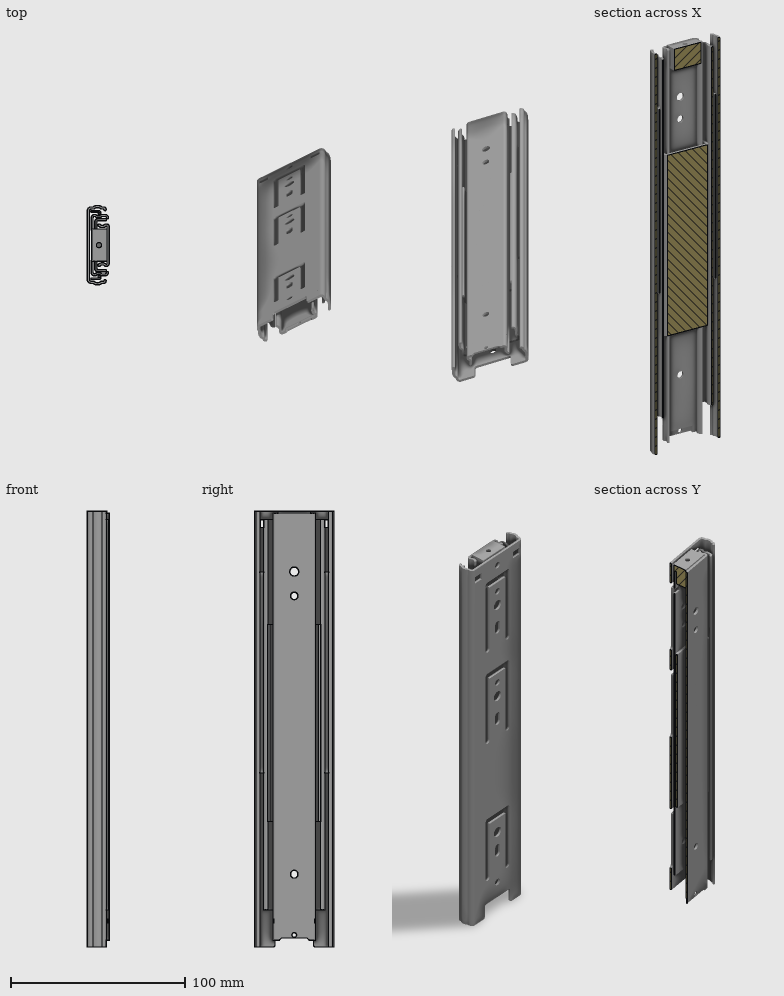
import cadquery as cq

length = 250.0
thickness = 12.8
half_width = 45.7 / 2

outer_sheet = 1.4
middle_sheet = 1.2
inner_sheet = 1.4
inner_cage_sheet = 1.4
outer_cage_sheet = 1.0

outer_span = (0.0, length)
middle_span = (21.4, 245.3)
inner_span = (4.0, 248.9)
outer_cage_span = (100.0, 215.0)
inner_cage_span = (72.0, 185.0)

outer_bend = 1.7
bulge_start_x = 3.6
bulge_end_x = 8.4
bulge_rise = 0.85
lip_x = 10.3
lip_bend = 0.9

small_hole = 4.1
large_hole = 6.4
slot_length = 8.4
leg_inside = 6.9
leg_outside = 10.3
bar_height = 4.4
bayonets = [
    (235.4, 49.2, 10.8, 20.4, 36.2),
    (171.2, 49.2, 10.8, 20.4, 36.2),
    (69.0, 43.5, None, 13.9, 26.7),
]
end_hole_heights = (243.0, 19.9)

window_bottom = 240.6
window_top = 245.0
window_inside = 13.7
window_outside = 19.4
notch_half_width = 11.0
notch_height = 9.4
notch_corner = 1.2

middle_web_x = 2.9
middle_step = 0.7
step_inner_y = 6.6
step_outer_y = 9.2
middle_flange_y = 17.0
middle_groove_x = (4.8, 8.2)
middle_groove_depth = 0.8
middle_bend = 1.3
middle_lip_x = 11.7
clip_window_inside = 4.0
clip_window_outside = 8.4
clip_window_bottom = 229.0
clip_window_top = 232.6

inner_flange_y = 11.5
inner_groove_x = (10.6, 6.9)
inner_groove_depth = 0.8
inner_bend = 1.0
relief_half_width = 8.4
relief_height = 5.2
relief_corner = 1.0
thinning_height = 8.2
thinning_depth = 0.4
end_eye = 2.6
end_eye_height = 7.0
flange_notch_bottom = 13.8
flange_notch_top = 16.3
flange_notch_front = 12.0

access_hole = 5.0
access_hole_height = 215.3
access_slot_heights = (201.5, 41.9)
access_slot_length = 4.4
access_slot_width = 4.0

inner_cage_x = 5.0
inner_cage_y = 14.6
inner_cage_bend = 1.2
inner_cage_tip_x = 10.5
outer_cage_back_x = 2.6
outer_cage_tip_x = 6.7
outer_cage_y = 19.3
outer_cage_bend = 0.75

block_half_width = 9.3
block_head_back = 2.6
block_tongue_back = 4.4
block_tongue_bottom = 236.5
block_hole = 3.0
block_hole_depth = 2.0
block_hole_x = 6.8


def sheet(path, sheet_thickness, span):
    """Thicken an open centreline path in XY and extrude it over a range of Z."""
    bottom, top = span
    strip = path.offset2D(sheet_thickness / 2).extrude(top - bottom)
    return strip.translate((0, 0, bottom))


def symmetric_sheet(half_path, sheet_thickness, span):
    """Sheet whose half path starts on Y = 0, mirrored to the -Y side."""
    half = sheet(half_path, sheet_thickness, span)
    positive_y = cq.Workplane("XY").box(
        4 * thickness, 2 * half_width, 4 * length, centered=(True, False, True)
    )
    half = half.intersect(positive_y)
    return half.union(half.mirror("XZ"))


def box(x_range, y_range, z_range):
    """Block spanning the given (low, high) ranges."""
    (x0, x1), (y0, y1), (z0, z1) = x_range, y_range, z_range
    return cq.Workplane("XY").box(x1 - x0, y1 - y0, z1 - z0, centered=False).translate((x0, y0, z0))


def both_sides(shape):
    """The shape together with its mirror image across Y = 0."""
    return shape.union(shape.mirror("XZ"))


def cross_hole(diameter, z):
    """Cutter along X through the whole slide."""
    return cq.Workplane("YZ", origin=(0, 0, z)).circle(diameter / 2).extrude(thickness)


def cross_slot(slot_len, width, z, y=0.0, depth=thickness):
    """Upright rounded slot cutter along X."""
    return cq.Workplane("YZ", origin=(0, y, z)).slot2D(slot_len, width, 90).extrude(depth)


def bayonet_cutter(top, height, small_drop, large_drop, slot_drop):
    """U slot plus the holes drilled in the tongue it leaves."""
    leg_y = (leg_inside + leg_outside) / 2
    bar = box((0, outer_sheet), (-leg_y, leg_y), (top - bar_height, top))
    leg = cross_slot(height, leg_outside - leg_inside, top - height / 2, leg_y, outer_sheet)
    cutter = bar.union(both_sides(leg))
    if small_drop is not None:
        cutter = cutter.union(cross_hole(small_hole, top - small_drop))
    cutter = cutter.union(cross_hole(large_hole, top - large_drop))
    return cutter.union(cross_slot(slot_length, small_hole, top - slot_drop))


def make_outer():
    web_x = outer_sheet / 2
    crest_y = half_width - outer_sheet / 2
    flange_y = crest_y - bulge_rise
    path = (
        cq.Workplane("XY")
        .moveTo(web_x, 0)
        .lineTo(web_x, flange_y - outer_bend)
        .tangentArcPoint((web_x + outer_bend, flange_y), relative=False)
        .lineTo(bulge_start_x, flange_y)
        .threePointArc(((bulge_start_x + bulge_end_x) / 2, crest_y), (bulge_end_x, flange_y))
        .lineTo(lip_x - lip_bend, flange_y)
        .tangentArcPoint((lip_x, flange_y - lip_bend), relative=False)
    )
    body = symmetric_sheet(path, outer_sheet, outer_span)
    for bayonet in bayonets:
        body = body.cut(bayonet_cutter(*bayonet))
    for z in end_hole_heights:
        body = body.cut(cross_hole(small_hole, z))
    window = box((0, outer_sheet), (window_inside, window_outside), (window_bottom, window_top))
    body = body.cut(both_sides(window))
    notch = box((0, outer_sheet), (-notch_half_width, notch_half_width), (0, notch_height))
    body = body.cut(notch.edges("|X and >Z").fillet(notch_corner))
    margin = 0.1
    mouth = cq.selectors.BoxSelector(
        (0, -notch_half_width - margin, -margin), (outer_sheet, notch_half_width + margin, margin)
    )
    return body.edges("|X").edges(mouth).fillet(notch_corner)


def access_openings():
    openings = cross_hole(access_hole, access_hole_height)
    for z in access_slot_heights:
        openings = openings.union(cross_slot(access_slot_length, access_slot_width, z))
    return openings


def make_middle():
    flange_y = middle_flange_y
    groove_start_x, groove_end_x = middle_groove_x
    groove_x = (groove_start_x + groove_end_x) / 2
    path = (
        cq.Workplane("XY")
        .moveTo(middle_web_x + middle_step, 0)
        .lineTo(middle_web_x + middle_step, step_inner_y)
        .lineTo(middle_web_x, step_outer_y)
        .lineTo(middle_web_x, flange_y - middle_bend)
        .tangentArcPoint((middle_web_x + middle_bend, flange_y), relative=False)
        .lineTo(groove_start_x, flange_y)
        .threePointArc((groove_x, flange_y - middle_groove_depth), (groove_end_x, flange_y))
        .lineTo(middle_lip_x - middle_bend, flange_y)
        .tangentArcPoint((middle_lip_x, flange_y - middle_bend), relative=False)
    )
    clip_window = box(
        (0, thickness / 2), (clip_window_inside, clip_window_outside), (clip_window_bottom, clip_window_top)
    )
    body = symmetric_sheet(path, middle_sheet, middle_span)
    return body.cut(both_sides(clip_window)).cut(access_openings())


def make_inner():
    web_x = thickness - inner_sheet / 2
    web_back = thickness - inner_sheet
    groove_start_x, groove_end_x = inner_groove_x
    groove_x = (groove_start_x + groove_end_x) / 2
    bottom = inner_span[0]
    path = (
        cq.Workplane("XY")
        .moveTo(web_x, 0)
        .lineTo(web_x, inner_flange_y - inner_bend)
        .tangentArcPoint((web_x - inner_bend, inner_flange_y), relative=False)
        .lineTo(groove_start_x, inner_flange_y)
        .threePointArc((groove_x, inner_flange_y - inner_groove_depth), (groove_end_x, inner_flange_y))
    )
    body = symmetric_sheet(path, inner_sheet, inner_span)

    relief_y = (-relief_half_width, relief_half_width)
    relief = box((web_back, thickness), relief_y, (bottom, relief_height))
    body = body.cut(relief.edges("|X and >Z").chamfer(relief_corner))
    body = body.cut(box((web_back, web_back + thinning_depth), relief_y, (bottom, thinning_height)))
    body = body.cut(cross_hole(end_eye, end_eye_height))

    flange_notch = box(
        (web_back, flange_notch_front), (inner_flange_y, half_width), (flange_notch_bottom, flange_notch_top)
    )
    return body.cut(both_sides(flange_notch)).cut(access_openings())


def make_inner_cage():
    path = (
        cq.Workplane("XY")
        .moveTo(inner_cage_x, 0)
        .lineTo(inner_cage_x, inner_cage_y - inner_cage_bend)
        .tangentArcPoint((inner_cage_x + inner_cage_bend, inner_cage_y), relative=False)
        .lineTo(inner_cage_tip_x, inner_cage_y)
    )
    return symmetric_sheet(path, inner_cage_sheet, inner_cage_span)


def make_outer_cage():
    """Hooked strip on the +Y side, between the outer and middle flanges."""
    path = (
        cq.Workplane("XY")
        .moveTo(outer_cage_back_x, outer_cage_y)
        .lineTo(outer_cage_tip_x, outer_cage_y)
        .tangentArcPoint((outer_cage_tip_x, outer_cage_y - 2 * outer_cage_bend), relative=False)
    )
    return sheet(path, outer_cage_sheet, outer_cage_span)


def make_block():
    front = thickness - inner_sheet
    block_y = (-block_half_width, block_half_width)
    head = box((block_head_back, front), block_y, (middle_span[1], length))
    tongue = box((block_tongue_back, front), block_y, (block_tongue_bottom, length))
    hole_start = cq.Workplane("XY", origin=(block_hole_x, 0, length))
    hole = hole_start.circle(block_hole / 2).extrude(-block_hole_depth)
    return head.union(tongue).cut(hole)


outer_member = make_outer()
middle_member = make_middle()
inner_member = make_inner()
inner_cage = make_inner_cage()
left_cage = make_outer_cage()
outer_cages = [left_cage, left_cage.mirror("XZ")]
stop_block = make_block()

result = cq.Compound.makeCompound([
    outer_member.val(),
    middle_member.val(),
    inner_member.val(),
    inner_cage.val(),
    *[cage.val() for cage in outer_cages],
    stop_block.val(),
])